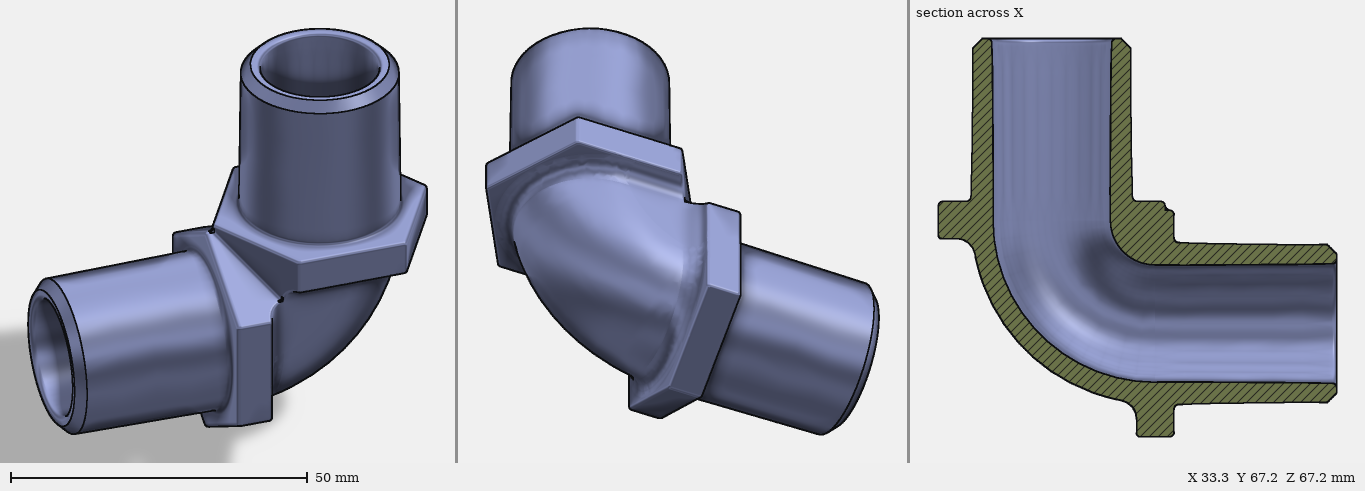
import cadquery as cq
import math


hex_across_flats = 33.34
overall_length = 67.15
edge_radius = 0.79
lower_edge_radius = 0.6
flange_thickness = 6.35
flange_inner = 14.275
body_radius = 13.5
neck_radius = 3.1
bore_radius = 9.85
mouth_radius = 10.06
spigot_tip_radius = 13.35
spigot_base_radius = 13.66
tip_chamfer = 1.65

half_flats = hex_across_flats / 2
hex_corner_radius = half_flats / math.cos(math.radians(30))
spigot_end = overall_length - hex_corner_radius + edge_radius * (hex_corner_radius / half_flats - 1)
body_end = flange_inner - neck_radius
flange_outer = flange_inner + flange_thickness
bend_radius = flange_inner + neck_radius
arc_inset = 1 - math.sqrt(0.5)
clear = 2 * overall_length


def on_both_arms(shape):
    """Join a shape on the +Z arm with its copy on the -Y arm."""
    return shape.union(shape.rotate((0, 0, 0), (0, 1, -1), 180))


def block(width, y_range, z_range):
    """Box centred on x = 0 that spans the given Y and Z ranges."""
    box = cq.Workplane("XY").box(width, y_range[1] - y_range[0], z_range[1] - z_range[0])
    return box.translate((0, sum(y_range) / 2, sum(z_range) / 2))


def turned(profile):
    """Revolve a half section in the XZ plane about the Z axis."""
    return profile.close().revolve(360, (0, 0, 0), (0, 1, 0))


def quarter_bend(section):
    """Sweep a section at z = bend_radius a quarter turn, from the +Z arm to the -Y arm."""
    return section.revolve(90, (0, -bend_radius, 0), (-1, -bend_radius, 0))


def bend_plane():
    return cq.Workplane("XY", origin=(0, 0, bend_radius))


def elbow():
    """Bend with a U-shaped section: round outside, flat sides reaching in to the bend axis."""
    section = (
        bend_plane()
        .moveTo(-body_radius, -bend_radius)
        .lineTo(-body_radius, 0)
        .threePointArc((0, body_radius), (body_radius, 0))
        .lineTo(body_radius, -bend_radius)
        .close()
    )
    return quarter_bend(section)


def hex_outline():
    """Hexagonal prism over neck and flange, corners on the Y axis, with rounded edges."""
    prism = (
        cq.Workplane("XY", origin=(0, 0, body_end))
        .transformed(rotate=(0, 0, 90))
        .polygon(6, 2 * hex_corner_radius)
        .extrude(flange_outer - body_end)
    )
    return prism.edges("|Z or >Z").fillet(edge_radius)


def neck_and_slab():
    """Elbow end flaring into an oversized flange slab, to be trimmed by the hexagons."""
    side_extension = block(2 * body_radius, (-clear, -body_end), (0, flange_inner))
    slab = block(clear, (-clear, clear), (flange_inner, spigot_end))
    flared = elbow().union(side_extension).union(slab)
    in_seam = cq.selectors.BoxSelector(
        (-half_flats, -clear, flange_inner - edge_radius),
        (half_flats, half_flats, flange_inner + edge_radius),
    )
    flared = flared.edges(in_seam).fillet(neck_radius)
    return flared.intersect(block(clear, (-flange_outer, clear), (body_end, spigot_end)))


def seam_fillet():
    """Concave fillet strip in the +X seam where the slanted faces of the two hexagons meet."""
    seam = cq.Vector(half_flats, hex_corner_radius / 2, -hex_corner_radius / 2)
    outward = cq.Vector(1, -math.sqrt(3) / 2, math.sqrt(3) / 2)
    cos_half = outward.Length / 2
    sin_half = math.sqrt(1 - cos_half**2)
    centre = edge_radius / cos_half
    tangent = centre - edge_radius * cos_half
    seam_start = (0, -hex_corner_radius, hex_corner_radius)
    return (
        cq.Workplane(cq.Plane(origin=seam_start, xDir=outward, normal=seam))
        .lineTo(tangent, -edge_radius * sin_half)
        .threePointArc((centre - edge_radius, 0), (tangent, edge_radius * sin_half))
        .close()
        .extrude(seam.Length)
    )


def flanged_body():
    arms = on_both_arms(neck_and_slab())
    middle = elbow().intersect(block(clear, (-body_end, clear), (-clear, body_end)))
    part = arms.intersect(on_both_arms(hex_outline())).union(middle)

    notch_curves = [
        edge
        for edge in part.edges("%ELLIPSE").vals()
        if abs(edge.Center().x) > body_radius and abs(edge.Center().y + edge.Center().z) > lower_edge_radius
    ]
    part = part.newObject(notch_curves).fillet(lower_edge_radius)

    strip = seam_fillet().intersect(arms)
    return part.union(strip).union(strip.mirror("YZ"))


def spigot():
    """Tapered spigot with a chamfered tip and a small fillet onto the flange face."""
    root_middle = (
        spigot_base_radius + arc_inset * edge_radius,
        flange_outer + arc_inset * edge_radius,
    )
    return turned(
        cq.Workplane("XZ")
        .moveTo(0, flange_inner)
        .lineTo(spigot_base_radius + edge_radius, flange_inner)
        .lineTo(spigot_base_radius + edge_radius, flange_outer)
        .threePointArc(root_middle, (spigot_base_radius, flange_outer + edge_radius))
        .lineTo(spigot_tip_radius, spigot_end - tip_chamfer)
        .lineTo(spigot_tip_radius - tip_chamfer, spigot_end)
        .lineTo(0, spigot_end)
    )


def straight_bore():
    """Slightly tapered bore of one spigot, with a rounded lip at the mouth."""
    lip_middle = (
        mouth_radius + arc_inset * edge_radius,
        spigot_end - arc_inset * edge_radius,
    )
    return turned(
        cq.Workplane("XZ")
        .moveTo(0, bend_radius)
        .lineTo(bore_radius, bend_radius)
        .lineTo(mouth_radius, spigot_end - edge_radius)
        .threePointArc(lip_middle, (mouth_radius + edge_radius, spigot_end))
        .lineTo(0, spigot_end)
    )


result = flanged_body().union(on_both_arms(spigot()))
result = result.cut(on_both_arms(straight_bore()))
result = result.cut(quarter_bend(bend_plane().circle(bore_radius)))